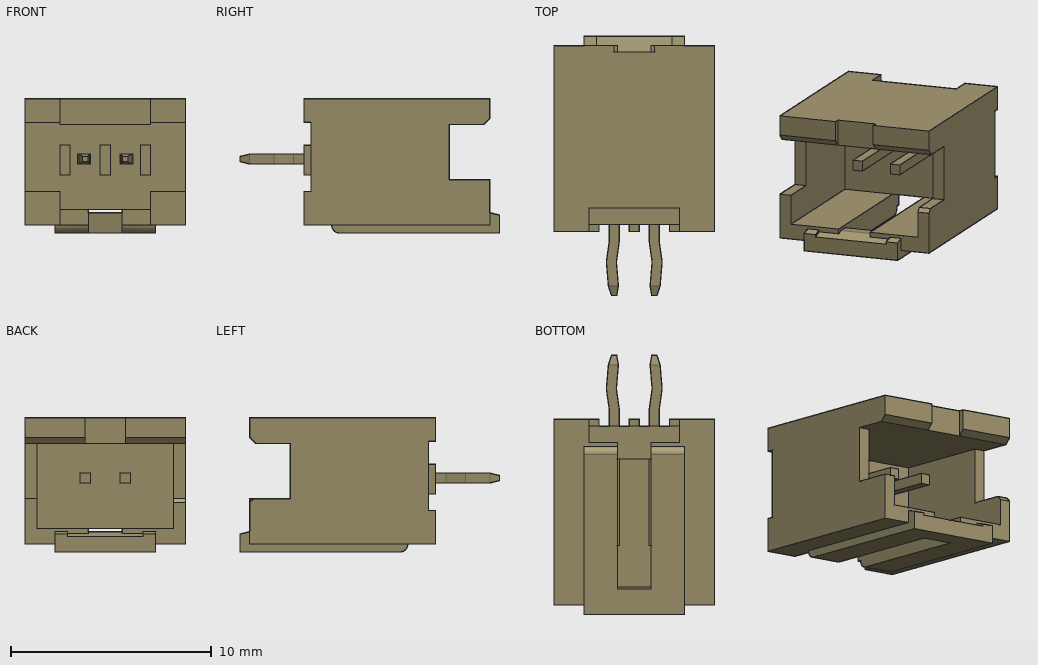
import cadquery as cq


WIDTH = 8.0
LENGTH = 9.27
BODY_BOTTOM = 0.4
BODY_TOP = 6.7

SIDE_WALL = 0.6
FRONT_WALL_BACK = 2.0
CAVITY_FLOOR = 1.17
CAVITY_ROOF = 5.41

FACE_SETBACK = 0.35
UPPER_FOOT_HEIGHT = 1.18
LOWER_FOOT_HEIGHT = 1.68
RECESS_WIDTH = 4.5
RECESS_DEPTH = 1.17

SIDE_NOTCH_DEPTH = 2.02
SIDE_NOTCH_BOTTOM = 2.66
UPPER_LEAD_IN = 0.3
LOWER_LEAD_IN = 0.2
ROOF_NOTCH_WIDTH = 2.02
ROOF_NOTCH_DEPTH = 0.31

RAIL_WIDTH = 5.02
RAIL_FRONT = 1.38
RAIL_NOSE_RADIUS = 0.39
LIP_LENGTH = 0.48
LIP_BACK_HEIGHT = 0.9
LIP_FRONT_HEIGHT = 1.02
LIP_CENTER_WIDTH = 3.78
SLOT_WIDTH = 1.68
LATCH_HEIGHT = 1.02
LATCH_BACK_HEIGHT = 0.78
LATCH_LENGTH = 0.9
LATCH_UNDERCUT = 0.1

PITCH = 2.0
RIB_WIDTH = 0.5
RIB_HEIGHT = 1.5
RIB_CENTER_Z = 3.64
PIN_SIZE = 0.51
PIN_CENTER_Z = 3.69
PIN_INNER_END = 6.3
PIN_BEND_START = -0.52
PIN_BEND_PEAK = -1.5
PIN_TAPER_START = -2.7
PIN_TIP = -3.19
PIN_BEND_OFFSET = 0.14
PIN_TAPER_OFFSET = 0.04
PIN_TIP_SIZE = 0.26

LIP_BACK = LENGTH + LIP_LENGTH
ROOF_NOTCH_FRONT = LENGTH - ROOF_NOTCH_DEPTH
MARGIN = 1.0


def box(width, y_range, z_range, center_x=0.0):
    """Box centred on center_x that spans the given Y and Z ranges."""
    length = y_range[1] - y_range[0]
    height = z_range[1] - z_range[0]
    block = cq.Workplane("XY").box(width, length, height, centered=(True, False, False))
    return block.translate((center_x, y_range[0], z_range[0]))


def side_profile(points, width, center_x=0.0):
    """Prism along X from (y, z) points, centred on center_x."""
    prism = cq.Workplane("YZ").polyline(points).close().extrude(width / 2, both=True)
    return prism.translate((center_x, 0, 0))


def make_housing():
    housing = box(WIDTH, (0, LENGTH), (BODY_BOTTOM, BODY_TOP))
    cavity = box(
        WIDTH - 2 * SIDE_WALL, (FRONT_WALL_BACK, LENGTH + MARGIN), (CAVITY_FLOOR, CAVITY_ROOF)
    )
    return housing.cut(cavity)


def cut_front_face(housing):
    setback = box(
        WIDTH,
        (0, FACE_SETBACK),
        (BODY_BOTTOM + LOWER_FOOT_HEIGHT, BODY_TOP - UPPER_FOOT_HEIGHT),
    )
    between_feet = box(RECESS_WIDTH, (0, FACE_SETBACK), (BODY_BOTTOM, BODY_TOP))
    top_recess = box(RECESS_WIDTH, (0, RECESS_DEPTH), (CAVITY_ROOF, BODY_TOP))
    bottom_recess = box(RECESS_WIDTH, (0, RECESS_DEPTH), (BODY_BOTTOM, CAVITY_FLOOR))
    return housing.cut(setback).cut(between_feet).cut(top_recess).cut(bottom_recess)


def cut_side_notches(housing):
    """Notch both side walls, with a lead-in on the roof edge and on the -X wall corner."""
    notch = side_profile(
        [
            (LENGTH - SIDE_NOTCH_DEPTH, SIDE_NOTCH_BOTTOM),
            (LENGTH, SIDE_NOTCH_BOTTOM),
            (LENGTH, CAVITY_ROOF + UPPER_LEAD_IN),
            (LENGTH - UPPER_LEAD_IN, CAVITY_ROOF),
            (LENGTH - SIDE_NOTCH_DEPTH, CAVITY_ROOF),
        ],
        WIDTH,
    )
    corner = side_profile(
        [
            (LENGTH - LOWER_LEAD_IN, SIDE_NOTCH_BOTTOM),
            (LENGTH, SIDE_NOTCH_BOTTOM),
            (LENGTH, SIDE_NOTCH_BOTTOM - LOWER_LEAD_IN),
        ],
        SIDE_WALL,
        (SIDE_WALL - WIDTH) / 2,
    )
    return housing.cut(notch).cut(corner)


def cut_roof_notch(housing):
    return housing.cut(box(ROOF_NOTCH_WIDTH, (ROOF_NOTCH_FRONT, LENGTH), (CAVITY_ROOF, BODY_TOP)))


def add_rail(housing):
    """Rail under the housing with a rounded front, ending in the sloped lip."""
    rail = box(RAIL_WIDTH, (RAIL_FRONT, LIP_BACK), (0, BODY_BOTTOM))
    rail = rail.faces("<Y").edges("<Z").fillet(RAIL_NOSE_RADIUS)
    lip = side_profile(
        [
            (LENGTH, 0),
            (LIP_BACK, 0),
            (LIP_BACK, LIP_BACK_HEIGHT),
            (LENGTH, LIP_FRONT_HEIGHT),
        ],
        RAIL_WIDTH,
    )
    return housing.union(rail).union(lip)


def cut_latch(housing):
    """Slot through the floor up to the latch, whose ramp runs down across the lip."""
    latch_front = LENGTH - LATCH_LENGTH
    slot = side_profile(
        [
            (0, 0),
            (latch_front + LATCH_UNDERCUT, 0),
            (latch_front, LATCH_HEIGHT),
            (latch_front, CAVITY_FLOOR),
            (0, CAVITY_FLOOR),
        ],
        SLOT_WIDTH,
    )
    slope = (LATCH_HEIGHT - LATCH_BACK_HEIGHT) / (LIP_BACK - ROOF_NOTCH_FRONT)
    lip_start_height = LATCH_BACK_HEIGHT + slope * LIP_LENGTH
    ramp = side_profile(
        [
            (latch_front, LATCH_HEIGHT),
            (ROOF_NOTCH_FRONT, LATCH_HEIGHT),
            (LENGTH, lip_start_height),
            (LENGTH, CAVITY_FLOOR),
            (latch_front, CAVITY_FLOOR),
        ],
        SLOT_WIDTH,
    )
    lip_center = side_profile(
        [
            (LENGTH, lip_start_height),
            (LIP_BACK, LATCH_BACK_HEIGHT),
            (LIP_BACK, CAVITY_FLOOR),
            (LENGTH, CAVITY_FLOOR),
        ],
        LIP_CENTER_WIDTH,
    )
    return housing.cut(slot).cut(ramp).cut(lip_center)


def add_ribs(housing):
    z_range = (RIB_CENTER_Z - RIB_HEIGHT / 2, RIB_CENTER_Z + RIB_HEIGHT / 2)
    for position in (-1, 0, 1):
        housing = housing.union(box(RIB_WIDTH, (0, FACE_SETBACK), z_range, position * PITCH))
    return housing


def make_pin(side):
    """Square pin bowed outward (side = -1 or 1), with a tapered tip."""
    center = side * PITCH / 2
    path = [
        (center, PIN_INNER_END),
        (center, PIN_BEND_START),
        (center + side * PIN_BEND_OFFSET, PIN_BEND_PEAK),
        (center + side * PIN_TAPER_OFFSET, PIN_TAPER_START),
    ]
    half = PIN_SIZE / 2
    outline = [(x - half, y) for x, y in path] + [(x + half, y) for x, y in reversed(path)]
    shank = (
        cq.Workplane("XY", origin=(0, 0, PIN_CENTER_Z))
        .polyline(outline)
        .close()
        .extrude(half, both=True)
    )
    tip = (
        cq.Workplane("XZ", origin=(center, PIN_TAPER_START, PIN_CENTER_Z))
        .center(side * PIN_TAPER_OFFSET, 0)
        .rect(PIN_SIZE, PIN_SIZE)
        .workplane(offset=PIN_TAPER_START - PIN_TIP)
        .center(-side * PIN_TAPER_OFFSET, 0)
        .rect(PIN_TIP_SIZE, PIN_TIP_SIZE)
        .loft(ruled=True)
    )
    return shank.union(tip)


part = make_housing()
part = cut_front_face(part)
part = cut_side_notches(part)
part = cut_roof_notch(part)
part = add_rail(part)
part = cut_latch(part)
part = add_ribs(part)
for pin_side in (-1, 1):
    part = part.union(make_pin(pin_side))

result = part